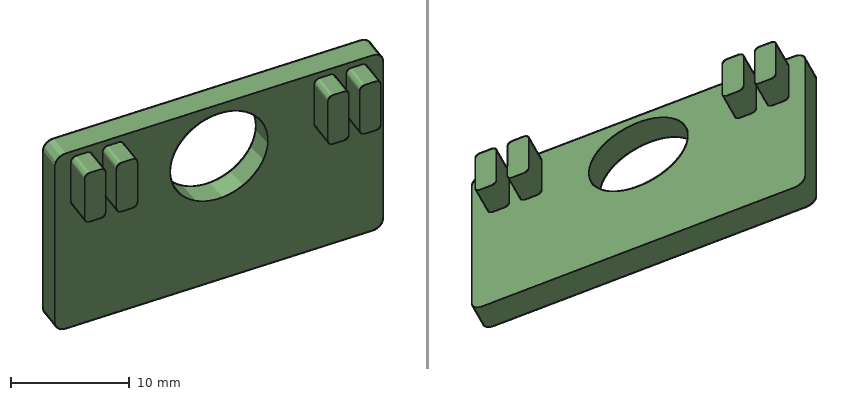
import cadquery as cq

plate_width = 31.0
plate_height = 19.0
plate_thickness = 2.25
plate_corner_radius = 1.02

hole_diameter = 9.2
hole_top_margin = 1.0
hole_center_z = plate_height - hole_top_margin - hole_diameter / 2

overall_depth = 4.8
peg_length = overall_depth - plate_thickness
peg_width = 1.98
peg_height = 5.3
peg_corner_radius = 0.5
peg_pitch = 3.0
peg_side_margin = 1.52
peg_top_margin = 0.62

outer_peg_y = plate_width / 2 - peg_side_margin - peg_width / 2
inner_peg_y = outer_peg_y - peg_pitch
peg_center_z = plate_height - peg_top_margin - peg_height / 2


def rounded_block(width, height, depth, radius, center, start_x):
    """Block extruded along +X from start_x, with its four long edges rounded."""
    center_y, center_z = center
    return (
        cq.Workplane("YZ", origin=(start_x, center_y, center_z))
        .rect(width, height)
        .extrude(depth)
        .edges("|X")
        .fillet(radius)
    )


def make_plate():
    plate_center = (0, plate_height / 2)
    plate = rounded_block(
        plate_width, plate_height, plate_thickness, plate_corner_radius, plate_center, 0
    )
    hole = (
        cq.Workplane("YZ", origin=(0, 0, hole_center_z))
        .circle(hole_diameter / 2)
        .extrude(plate_thickness)
    )
    return plate.cut(hole)


def make_peg(center_y):
    peg_center = (center_y, peg_center_z)
    return rounded_block(
        peg_width, peg_height, peg_length, peg_corner_radius, peg_center, plate_thickness
    )


result = make_plate()
for peg_y in (-outer_peg_y, -inner_peg_y, inner_peg_y, outer_peg_y):
    result = result.union(make_peg(peg_y))